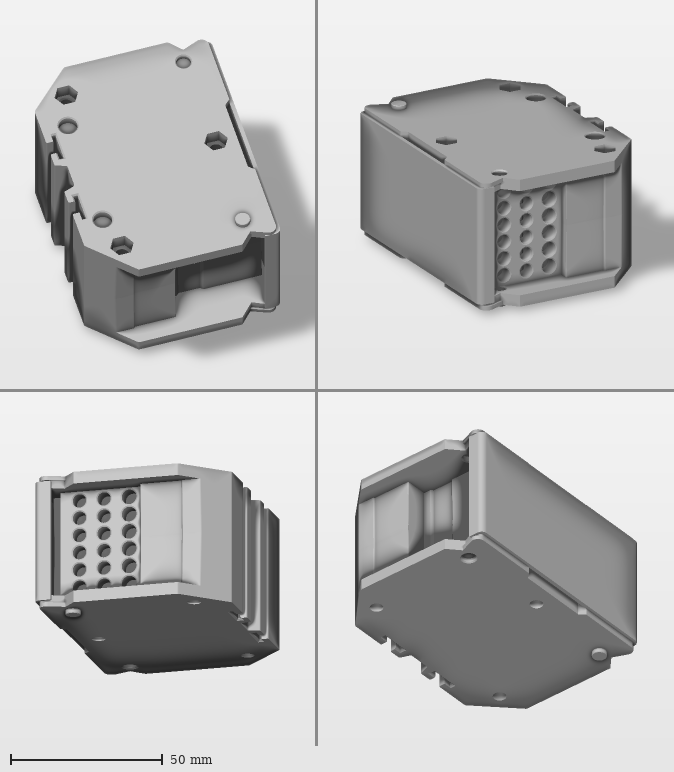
import cadquery as cq
import math


width = 86.0
depth_z = 44.9
half_width = width / 2
half_depth = depth_z / 2
plate_thickness = 4.0
inner_z = half_depth - plate_thickness
bottom_chamfer = 14.45
bevel_fillet = 0.9
shoulder_y = 50.1
neck_x, neck_y = 38.6, 54.2
plate_top = 62.95
corner_x = 42.1
corner_radius = 2.5

lid_thickness = 1.4
lid_top = plate_top + lid_thickness
lid_half_width = 40.8
lid_side_thickness = 0.95
lid_skirt_bottom = 58.65
lid_corner_radius = 2.1
lid_inner_half = lid_half_width - lid_side_thickness
lid_inner_radius = lid_corner_radius - lid_side_thickness
lid_front_z, lid_back_z = -20.1, 20.7
lid_seat_z = 21.0
seat_inset = 0.6
seat_neck_x = neck_x - seat_inset
seat_neck_y = neck_y + seat_inset * (neck_y - shoulder_y) / (half_width - neck_x)

draft_angle = 1.0
foot_x, wall_x = 36.7, 36.2
foot_edge_y = bottom_chamfer - (half_width - foot_x)
foot_fillet = 0.9
foot_step_bottom, foot_step_top = 14.45, 15.0
ledge_y = 28.9
recess_x = 28.0
groove_bottom, groove_top = 32.6, 41.2
groove_depth = 0.9
core_top = 61.0
draft_shift = inner_z * math.tan(math.radians(draft_angle))

window_half_top, window_half_bottom = 14.9, 13.1

slot_head_inner, slot_head_outer = 7.9, 17.7
slot_head_top, slot_head_bottom = 3.9, 2.4
slot_mouth_inner, slot_mouth_outer = 10.3, 15.05
slot_lead_in = 0.5
lead_in_angle = 45
lip_fillet = 0.5
channel_half_top, channel_half_bottom = 4.2, 5.6
channel_height = 3.95
channel_fillet = 0.7

bolt_places = [(0, 53.9), (-32.0, 11.95), (32.0, 11.95)]
bolt_diameter = 4.6
nut_sides = 6
nut_corners = 8.1
nut_depth = 5.2
pin_x, pin_y = 34.0, 52.9
pin_diameter = 5.1
pin_height = 1.55
pin_edge = 0.2
pin_socket_diameter = 4.9
recess_places = [(-19.95, 8.95), (19.95, 8.95)]
recess_diameter = 6.3
recess_depth = 3.0
pin_socket_depth = 1.7
pin_core_diameter = 4.0
pin_core_depth = 2.15
mouth_bevel = 0.4
bolt_lead_in_place = bolt_places[1]
bolt_lead_in_diameter = 5.6
bolt_lead_in_depth = 0.5

terminal_face_x = -33.5
terminal_back_x = -(recess_x + draft_shift)
terminal_bottom_y = ledge_y + draft_shift
terminal_top_y = 57.4
terminal_front_z = -18.15
terminal_columns = [(50.9, 4.6), (42.5, 4.6), (33.9, 5.0)]
terminal_rows = 6
terminal_pitch = 5.9
terminal_rows_center = 0.4
terminal_bevel_width = 0.4
terminal_bevel_depth = 0.3


def symmetric_outline(right_side, z):
    """Closed outline at height z from its +X points, listed from low to high, and their mirror images."""
    left_side = [(-x, y) for x, y in reversed(right_side)]
    return cq.Workplane("XY").workplane(offset=z).polyline(right_side + left_side).close()


def mirrored_prism(right_side, bottom, top):
    """Prism along Z over a symmetric outline."""
    return symmetric_outline(right_side, bottom).extrude(top - bottom)


def body_slab(upper_points, top_radius, bottom, top):
    """Slab with the common lower outline of the housing and its own upper outline."""
    lower_points = [
        (half_width - bottom_chamfer, 0),
        (half_width, bottom_chamfer),
        (half_width, shoulder_y),
    ]
    slab = mirrored_prism(lower_points + upper_points, bottom, top)
    slab = slab.edges("|Z and >Y").fillet(top_radius)
    bevel_edges = cq.selectors.BoxSelector(
        (-width, -0.9, -depth_z), (width, bottom_chamfer + 0.9, depth_z))
    return slab.edges("|Z").edges(bevel_edges).fillet(bevel_fillet)


def outer_plate(bottom, top):
    return body_slab([(neck_x, neck_y), (corner_x, plate_top)], corner_radius, bottom, top)


def lid_seat_slab(bottom, top):
    """Slab that fits inside the lid."""
    upper_points = [
        (seat_neck_x, seat_neck_y),
        (lid_inner_half, lid_skirt_bottom),
        (lid_inner_half, plate_top),
    ]
    return body_slab(upper_points, lid_inner_radius, bottom, top)


def drafted_core():
    """Core that widens with the draft angle from mid depth toward both side plates."""
    right_side = [
        (foot_x, -bottom_chamfer),
        (foot_x, foot_step_bottom),
        (wall_x, foot_step_top),
        (wall_x, ledge_y),
        (recess_x, ledge_y),
        (recess_x, groove_bottom - groove_depth),
        (recess_x - groove_depth, groove_bottom),
        (recess_x - groove_depth, groove_top - groove_depth),
        (recess_x, groove_top),
        (recess_x, core_top),
    ]
    half_core = symmetric_outline(right_side, 0).extrude(inner_z, taper=-draft_angle)
    half_core = half_core.intersect(lid_seat_slab(0, inner_z))
    for side in (-1, 1):
        foot_edge = cq.selectors.NearestToPointSelector((side * foot_x, foot_edge_y, inner_z / 2))
        half_core = half_core.edges(foot_edge).fillet(foot_fillet)
    return half_core.union(half_core.mirror("XY"))


def rail_slot(side):
    """T-slot through the whole depth, with a bevelled lead-in at both ends that spares the outer lip."""
    head_width = slot_head_outer - slot_head_inner
    head_height = slot_head_top - slot_head_bottom
    head_x = side * (slot_head_outer + slot_head_inner) / 2
    head_y = (slot_head_top + slot_head_bottom) / 2
    head = cq.Workplane("XY").box(head_width, head_height, depth_z).translate((head_x, head_y, 0))
    lead_in = (cq.Workplane("XY").workplane(offset=half_depth).center(head_x, head_y)
               .rect(head_width + 2 * slot_lead_in, head_height + 2 * slot_lead_in)
               .extrude(-slot_lead_in, taper=lead_in_angle))
    mouth_x = side * (slot_mouth_inner + slot_mouth_outer) / 2
    mouth = (cq.Workplane("XY").box(slot_mouth_outer - slot_mouth_inner, 2 * head_y, depth_z)
             .translate((mouth_x, 0, 0)))
    outer_lip = (cq.Workplane("XY").box(head_width, head_height, depth_z + 0.9)
                 .translate((side * (slot_mouth_outer + head_width / 2), head_y - head_height, 0)))
    lead_in = lead_in.cut(outer_lip)
    return head.union(mouth).union(lead_in).union(lead_in.mirror("XY"))


def rail_channel():
    """Open channel between the two rail slots."""
    return mirrored_prism(
        [(channel_half_bottom, 0), (channel_half_top, channel_height)], -half_depth, half_depth)


def edges_at_height(y, half_span):
    """Selects edges centered at mid depth, at height y and within the half span of x = 0."""
    margin = 0.1
    return cq.selectors.BoxSelector(
        (-half_span - margin, y - margin, -margin), (half_span + margin, y + margin, margin))


def cut_rail_features(body):
    for side in (-1, 1):
        body = body.cut(rail_slot(side))
    body = body.cut(rail_channel())
    body = body.edges("|Z").edges(edges_at_height(0, slot_mouth_outer)).fillet(lip_fillet)
    return body.edges("|Z").edges(edges_at_height(channel_height, channel_half_top)).fillet(channel_fillet)


def finger_window():
    return mirrored_prism(
        [(window_half_bottom, core_top), (window_half_top, plate_top)], -half_depth, half_depth)


def bolt_hole(place):
    """Through hole with a nut pocket in the +Z side plate."""
    x, y = place
    hole = cq.Workplane("XY").cylinder(depth_z, bolt_diameter / 2)
    nut = (cq.Workplane("XY").workplane(offset=half_depth - nut_depth)
           .polygon(nut_sides, nut_corners).extrude(nut_depth)
           .rotate((0, 0, 0), (0, 0, 1), 180 / nut_sides))
    return hole.union(nut).translate((x, y, 0))


def bolt_lead_in():
    """Conical mouth of one bolt hole, below its nut pocket."""
    x, y = bolt_lead_in_place
    cone = cq.Solid.makeCone(
        bolt_diameter / 2, bolt_lead_in_diameter / 2, bolt_lead_in_depth)
    bottom = half_depth - nut_depth - bolt_lead_in_depth
    return cq.Workplane(cone.translate(cq.Vector(x, y, bottom)))


def round_socket(place, diameter, depth, mouth_z):
    """Blind round recess that opens toward +Z at the given height, with a bevelled mouth."""
    socket = cq.Workplane("XY").workplane(offset=mouth_z - depth).center(*place)
    socket = socket.circle(diameter / 2).extrude(depth)
    cone = cq.Solid.makeCone(diameter / 2, diameter / 2 + mouth_bevel, mouth_bevel)
    return socket.union(cone.translate(cq.Vector(*place, mouth_z - mouth_bevel)))


def locating_pin():
    """Round locating pin that stands on the +Z face."""
    pin = (cq.Workplane("XY").workplane(offset=half_depth).center(pin_x, pin_y)
           .circle(pin_diameter / 2).extrude(pin_height))
    return pin.faces(">Z").edges().chamfer(pin_edge)


def turned_over(shape):
    """The same shape after half a turn about the Y axis."""
    return shape.rotate((0, 0, 0), (0, 1, 0), 180)


def make_housing():
    side_plate = outer_plate(lid_seat_z, half_depth).union(lid_seat_slab(inner_z, lid_seat_z))
    housing = drafted_core().union(side_plate).union(side_plate.mirror("XY"))
    housing = cut_rail_features(housing).cut(finger_window())
    for place in bolt_places:
        housing = housing.cut(bolt_hole(place))
    for place in recess_places:
        housing = housing.cut(round_socket(place, recess_diameter, recess_depth, half_depth))
    housing = housing.cut(bolt_lead_in())
    pin = locating_pin()
    pin_socket = round_socket((-pin_x, pin_y), pin_socket_diameter, pin_socket_depth, half_depth)
    pin_core = round_socket((-pin_x, pin_y), pin_core_diameter, pin_core_depth, -inner_z)
    for cutter in (pin_socket, pin_core):
        housing = housing.cut(cutter).cut(turned_over(cutter))
    return housing.union(pin).union(turned_over(pin))


def make_lid():
    """U-shaped cap that sits between the outer layers of the side plates."""
    blank = mirrored_prism(
        [(lid_half_width, lid_skirt_bottom), (lid_half_width, lid_top)], lid_front_z, lid_back_z)
    blank = blank.edges("|Z and >Y").fillet(lid_corner_radius)
    inside = mirrored_prism(
        [(lid_inner_half, lid_skirt_bottom), (lid_inner_half, plate_top)], lid_front_z, lid_back_z)
    return blank.cut(inside.edges("|Z and >Y").fillet(lid_inner_radius))


def terminal_hole(y, z, diameter):
    """Wire hole through the terminal plate, bevelled at its outer end."""
    length = terminal_back_x - terminal_face_x
    radius = diameter / 2
    profile = [
        (0, 0),
        (radius + terminal_bevel_width, 0),
        (radius, terminal_bevel_depth),
        (radius, length),
        (0, length),
    ]
    hole = cq.Workplane("XY").polyline(profile).close().revolve(360, (0, 0), (0, 1))
    return hole.rotate((0, 0, 0), (0, 0, 1), -90).translate((terminal_face_x, y, z))


def make_terminal_plate():
    plate = cq.Workplane("XY").box(
        terminal_back_x - terminal_face_x,
        terminal_top_y - terminal_bottom_y,
        inner_z - terminal_front_z,
        centered=False,
    ).translate((terminal_face_x, terminal_bottom_y, terminal_front_z))
    for y, diameter in terminal_columns:
        for row in range(terminal_rows):
            z = terminal_rows_center + (row - (terminal_rows - 1) / 2) * terminal_pitch
            plate = plate.cut(terminal_hole(y, z, diameter))
    return plate


housing = make_housing()
lid = make_lid()
terminal_plate = make_terminal_plate()

result = cq.Compound.makeCompound([
    housing.solids().val(),
    lid.solids().val(),
    terminal_plate.solids().val(),
])